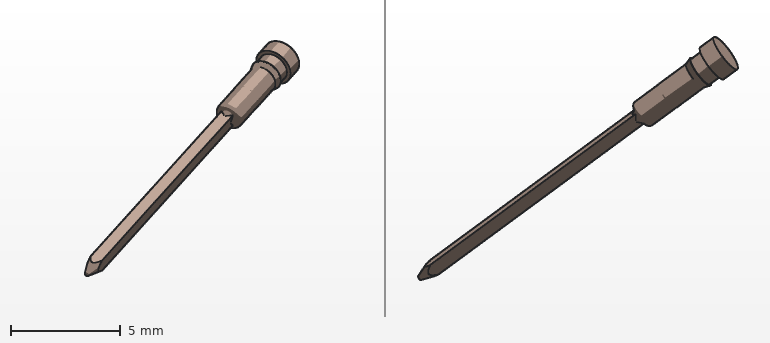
import cadquery as cq

total_length = 17.8
head_end = total_length / 2
tip_end = -total_length / 2

head_radius = 1.82 / 2
head_length = 0.8

neck_radius = 1.45 / 2
neck_length = 0.65

rim_radius = 1.57 / 2
rim_taper_length = 0.32

rear_body_radius = 1.35 / 2
rear_body_length = 1.57
step_length = 0.05
front_body_radius = 1.34 / 2
front_body_length = 1.35

shoulder_end_radius = 0.53
shoulder_length = 0.2
shoulder_bulge = 0.027
flare_length = 0.34
flare_hollow = 0.05

shank_width = 0.6
tip_radius = 0.1
tip_slope = 0.36
tip_fillet = 0.04

neck_start = head_end - head_length
rim_start = neck_start - neck_length
rear_body_start = rim_start - rim_taper_length
step_start = rear_body_start - rear_body_length
front_body_start = step_start - step_length
shoulder_start = front_body_start - front_body_length
flare_start = shoulder_start - shoulder_length
flare_end = flare_start - flare_length


def make_barrel():
    """Head, neck, rim, body and flared end, revolved about the Y axis."""
    flare_end_radius = shank_width / 2
    shoulder_middle = (
        (front_body_radius + shoulder_end_radius) / 2 + shoulder_bulge,
        (shoulder_start + flare_start) / 2 - shoulder_bulge,
    )
    flare_middle = (
        (shoulder_end_radius + flare_end_radius) / 2 - flare_hollow,
        (flare_start + flare_end) / 2 + flare_hollow,
    )
    profile = (
        cq.Workplane("XY")
        .moveTo(0, head_end)
        .lineTo(head_radius, head_end)
        .lineTo(head_radius, neck_start)
        .lineTo(neck_radius, neck_start)
        .lineTo(neck_radius, rim_start)
        .lineTo(rim_radius, rim_start)
        .lineTo(rear_body_radius, rear_body_start)
        .lineTo(rear_body_radius, step_start)
        .lineTo(front_body_radius, front_body_start)
        .lineTo(front_body_radius, shoulder_start)
        .threePointArc(shoulder_middle, (shoulder_end_radius, flare_start))
        .threePointArc(flare_middle, (flare_end_radius, flare_end))
        .lineTo(0, flare_end)
        .close()
    )
    return profile.revolve(360, (0, 0), (0, 1))


def make_shank():
    """Square shank whose free end is turned to a blunt cone with a rounded edge."""
    length = shoulder_start - tip_end
    bar = (
        cq.Workplane("XZ", origin=(0, shoulder_start, 0))
        .rect(shank_width, shank_width)
        .extrude(length)
    )
    cone_envelope = (
        cq.Workplane("XY")
        .moveTo(0, tip_end)
        .lineTo(tip_radius, tip_end)
        .lineTo(tip_radius + tip_slope * length, shoulder_start)
        .lineTo(0, shoulder_start)
        .close()
        .revolve(360, (0, 0), (0, 1))
        .faces("<Y")
        .edges()
        .fillet(tip_fillet)
    )
    return bar.intersect(cone_envelope)


result = make_barrel().union(make_shank())